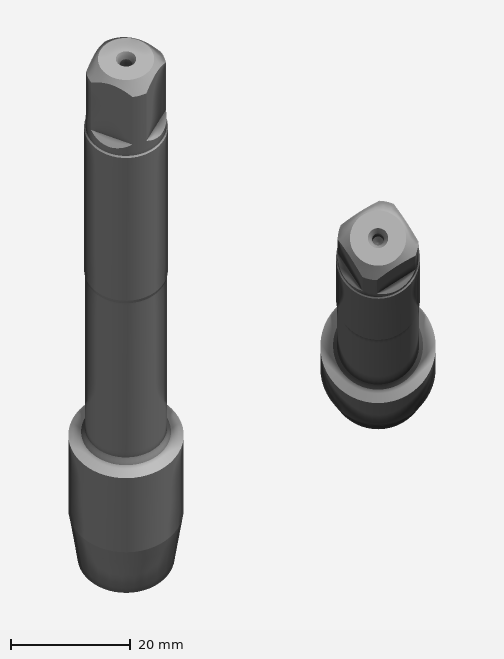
import cadquery as cq
import math


head_diameter = 19.2
tip_diameter = 16.2
lead_height = 11.9
head_top = 30.1

collar_rim_top = 30.5
flare_bottom = 31.4
flare_top = 32.6
lower_shaft_top = 71.4
upper_shaft_bottom = 72.1
neck_bottom = 108.2
overall_length = 125.0

flare_diameter = 15.0
lower_shaft_diameter = 13.8
upper_shaft_diameter = 14.0
neck_diameter = 13.5
end_face_diameter = 9.4

square_width = 11.1
ledge_top = overall_length - 14.0

center_hole_diameter = 2.0
center_hole_depth = 3.8
countersink_diameter = 3.4
countersink_angle = 60.0
drill_point_angle = 120.0


def cone_height(diameter_change, included_angle):
    """Height over which a cone changes by the given diameter."""
    return diameter_change / 2 / math.tan(math.radians(included_angle / 2))


def revolve_profile(steps):
    """Revolve (diameter, height) steps, listed along Z, about the Z axis."""
    rim = [(diameter / 2, height) for diameter, height in steps]
    axis_start = (0, steps[0][1])
    axis_end = (0, steps[-1][1])
    outline = cq.Workplane("XZ").polyline([axis_start, *rim, axis_end]).close()
    return outline.revolve(360, (0, 0), (0, 1))


def make_cutting_head():
    return revolve_profile([
        (tip_diameter, 0),
        (head_diameter, lead_height),
        (head_diameter, head_top),
    ])


def make_shank_blank():
    end_chamfer = (neck_diameter - end_face_diameter) / 2
    shoulder_chamfer = (upper_shaft_diameter - neck_diameter) / 2
    return revolve_profile([
        (head_diameter, head_top),
        (head_diameter, collar_rim_top),
        (flare_diameter, flare_bottom),
        (lower_shaft_diameter, flare_top),
        (lower_shaft_diameter, lower_shaft_top),
        (upper_shaft_diameter, upper_shaft_bottom),
        (upper_shaft_diameter, neck_bottom - shoulder_chamfer),
        (neck_diameter, neck_bottom),
        (neck_diameter, overall_length - end_chamfer),
        (end_face_diameter, overall_length),
    ])


def make_flat_cutter():
    """Cutter for one flat, with a ledge falling outward at 45 degrees."""
    inner = square_width / 2
    outer = head_diameter / 2
    ledge_bottom = ledge_top - (outer - inner)
    outline = cq.Workplane("XZ").polyline([
        (inner, overall_length),
        (inner, ledge_top),
        (outer, ledge_bottom),
        (outer, overall_length),
    ]).close()
    return outline.extrude(head_diameter / 2, both=True)


def make_center_hole():
    """Countersunk hole with a conical drill point."""
    countersink_depth = cone_height(countersink_diameter - center_hole_diameter, countersink_angle)
    point_depth = cone_height(center_hole_diameter, drill_point_angle)
    hole_bottom = overall_length - center_hole_depth
    outline = cq.Workplane("XZ").polyline([
        (0, hole_bottom - point_depth),
        (center_hole_diameter / 2, hole_bottom),
        (center_hole_diameter / 2, overall_length - countersink_depth),
        (countersink_diameter / 2, overall_length),
        (0, overall_length),
    ]).close()
    return outline.revolve(360, (0, 0), (0, 1))


def make_shank():
    shank = make_shank_blank()
    flat_cutter = make_flat_cutter()
    for angle in (0, 90, 180, 270):
        shank = shank.cut(flat_cutter.rotate((0, 0, 0), (0, 0, 1), angle))
    return shank.cut(make_center_hole())


cutting_head = make_cutting_head()
shank = make_shank()

result = cq.Compound.makeCompound([cutting_head.val(), *shank.solids().vals()])